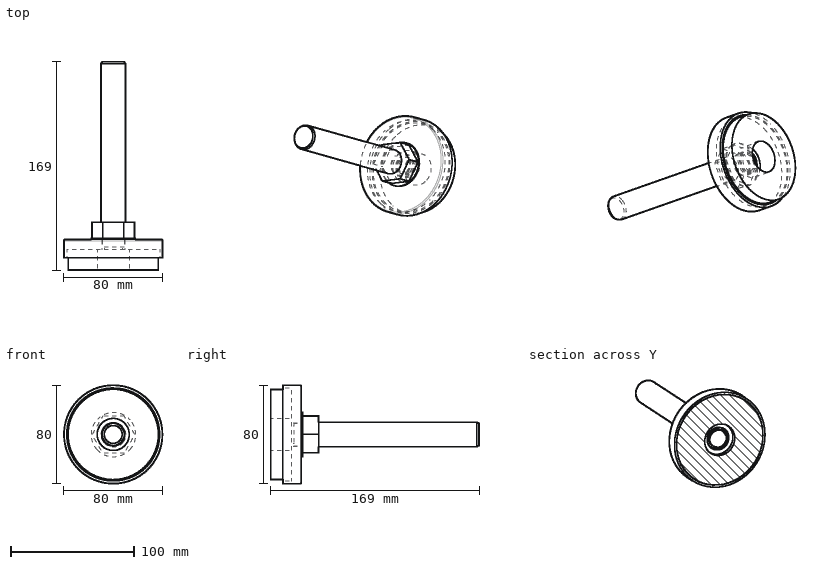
import cadquery as cq
import math


total_length = 169.0
pad_projection = 10.0
housing_height = 15.0
washer_thickness = 1.0
hex_height = 13.0
pad_top = 17.0
housing_bottom = pad_projection
housing_top = housing_bottom + housing_height
hex_base = housing_top + washer_thickness
hex_top = hex_base + hex_height

housing_diameter = 80.0
housing_edge_radius = 1.0
housing_bore_diameter = 18.8

pad_diameter = 73.2
pad_hole_diameter = 26.0
pad_shoulder_width = 1.1
pad_seat_diameter = pad_diameter + 2 * pad_shoulder_width

washer_diameter = 36.0

rod_diameter = 20.0
rod_chamfer_length = 1.7
rod_chamfer_width = 0.95
hex_across_flats = 30.0
hex_across_corners = hex_across_flats / math.cos(math.pi / 6)
neck_diameter = 18.0
neck_tip_diameter = 14.5
neck_tip_length = 2.0


def plane_at(y):
    """Plane across the foot axis at height y, with its normal along +Y."""
    return cq.Workplane(cq.Plane(origin=(0, y, 0), xDir=(1, 0, 0), normal=(0, 1, 0)))


def cylinder(diameter, start, end):
    """Solid cylinder on the Y axis between two heights."""
    return plane_at(start).circle(diameter / 2).extrude(end - start)


def make_housing():
    """Round cap with a recess for the pad and a central bore for the stud neck."""
    body = cylinder(housing_diameter, housing_bottom, housing_top)
    body = body.faces(">Y").edges().fillet(housing_edge_radius)
    recess = cylinder(pad_seat_diameter, housing_bottom, pad_top)
    bore = cylinder(housing_bore_diameter, housing_bottom, housing_top)
    return body.cut(recess).cut(bore)


def make_pad():
    """Thick rubber ring that fills the recess and stands out below it at a smaller diameter."""
    seat = cylinder(pad_seat_diameter, housing_bottom, pad_top)
    foot = cylinder(pad_diameter, 0, housing_bottom)
    hole = cylinder(pad_hole_diameter, 0, pad_top)
    return seat.union(foot).cut(hole)


def make_washer():
    """Flat washer between the housing and the hexagon, closely fitting the neck."""
    return cylinder(washer_diameter, housing_top, hex_base).cut(
        cylinder(neck_diameter, housing_top, hex_base)
    )


def make_stud():
    """Rod with a wrench hexagon and a stepped neck that passes into the housing."""
    neck_shoulder = pad_top + neck_tip_length
    tip = cylinder(neck_tip_diameter, pad_top, neck_shoulder)
    neck = cylinder(neck_diameter, neck_shoulder, hex_base)
    hexagon = plane_at(hex_base).polygon(6, hex_across_corners).extrude(hex_height)
    rod = cylinder(rod_diameter, hex_top, total_length)
    rod = rod.faces(">Y").edges().chamfer(rod_chamfer_length, rod_chamfer_width)
    return tip.union(neck).union(hexagon).union(rod)


housing = make_housing()
pad = make_pad()
washer = make_washer()
stud = make_stud()

result = cq.Compound.makeCompound([housing.val(), pad.val(), washer.val(), stud.val()])